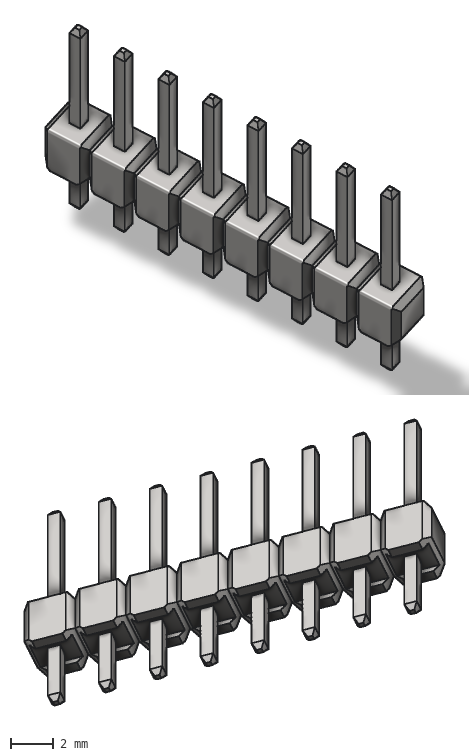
import cadquery as cq

POSITIONS = 8
PITCH = 2.55

BLOCK_DEPTH = PITCH
BLOCK_HEIGHT = 2.8
UPPER_BEVEL = 0.35
LOWER_BEVEL = 0.5
TOP_EDGE_RADIUS = 0.18
CHANNEL_WIDTH = 1.5
CHANNEL_HEIGHT = 0.3

PIN_WIDTH = 0.63
PIN_LENGTH = 12.7
PIN_BELOW_BLOCK = 3.2
TIP_LENGTH = 0.33
TIP_WIDTH = 0.25


def rounded_channel_block():
    """Block with rounded top long edges and a channel along its underside."""
    block = (
        cq.Workplane("XY")
        .box(PITCH, BLOCK_DEPTH, BLOCK_HEIGHT, centered=(True, True, False))
        .edges("|X and >Z")
        .fillet(TOP_EDGE_RADIUS)
    )
    channel = cq.Workplane("XY").box(PITCH, CHANNEL_WIDTH, CHANNEL_HEIGHT, centered=(True, True, False))
    return block.cut(channel)


def bevel_envelope():
    """Plain block with all the edges of its two ends bevelled."""
    half_pitch = PITCH / 2
    half_depth = BLOCK_DEPTH / 2
    side_outline = (
        cq.Workplane("XZ")
        .moveTo(-half_pitch + LOWER_BEVEL, 0)
        .lineTo(half_pitch - LOWER_BEVEL, 0)
        .lineTo(half_pitch, LOWER_BEVEL)
        .lineTo(half_pitch, BLOCK_HEIGHT - UPPER_BEVEL)
        .lineTo(half_pitch - UPPER_BEVEL, BLOCK_HEIGHT)
        .lineTo(-half_pitch + UPPER_BEVEL, BLOCK_HEIGHT)
        .lineTo(-half_pitch, BLOCK_HEIGHT - UPPER_BEVEL)
        .lineTo(-half_pitch, LOWER_BEVEL)
        .close()
        .extrude(half_depth, both=True)
    )
    plan_outline = (
        cq.Workplane("XY")
        .box(PITCH, BLOCK_DEPTH, BLOCK_HEIGHT, centered=(True, True, False))
        .edges("|Z")
        .chamfer(UPPER_BEVEL)
    )
    return side_outline.intersect(plan_outline)


def pin_tip():
    """Tapered end that starts at Z = 0 and narrows upwards."""
    return (
        cq.Workplane("XY")
        .rect(PIN_WIDTH, PIN_WIDTH)
        .workplane(offset=TIP_LENGTH)
        .rect(TIP_WIDTH, TIP_WIDTH)
        .loft(ruled=True)
    )


def square_pin():
    """Square pin, tapered at both ends, standing through the block."""
    shank_length = PIN_LENGTH - 2 * TIP_LENGTH
    shank_bottom = TIP_LENGTH - PIN_BELOW_BLOCK
    shank = (
        cq.Workplane("XY", origin=(0, 0, shank_bottom))
        .rect(PIN_WIDTH, PIN_WIDTH)
        .extrude(shank_length)
    )
    upper_tip = pin_tip().translate((0, 0, shank_bottom + shank_length))
    lower_tip = pin_tip().mirror("XY").translate((0, 0, shank_bottom))
    return shank.union(upper_tip).union(lower_tip)


def header_position(x):
    """Solid of one header position, a block joined with its pin, centred at the given X."""
    block = rounded_channel_block().intersect(bevel_envelope())
    return block.union(square_pin()).translate((x, 0, 0)).solids().val()


first_x = -PITCH * (POSITIONS - 1) / 2
positions = [header_position(first_x + index * PITCH) for index in range(POSITIONS)]

result = cq.Compound.makeCompound(positions)